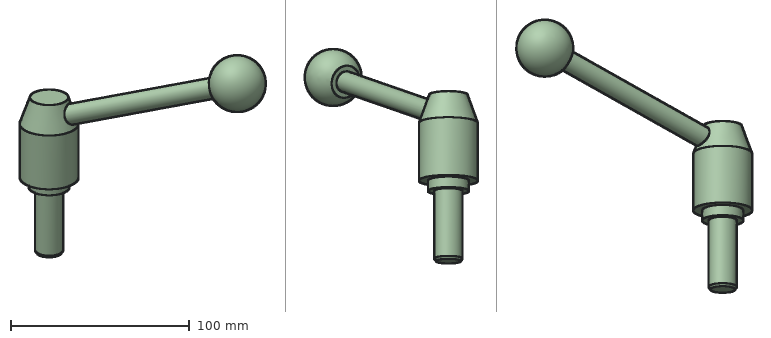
import cadquery as cq
import math

overall_length = 147.6
overall_height = 139.9

stud_diameter = 16.0
stud_length = 40.0
stud_chamfer_height = 1.5
stud_chamfer_width = 1.0
collar_diameter = 23.0
collar_height = 5.9
hub_diameter = 33.0
hub_height = 32.9
cone_top_diameter = 21.5
cone_height = 16.1

rod_diameter = 12.0
rod_angle = 20.0
ball_diameter = 32.0
ball_flat_diameter = 18.3

collar_bottom = stud_length
hub_bottom = collar_bottom + collar_height
cone_bottom = hub_bottom + hub_height
hub_top = cone_bottom + cone_height

ball_radius = ball_diameter / 2
ball_x = overall_length - hub_diameter / 2 - ball_radius
ball_z = overall_height - ball_radius
ball_flat_distance = math.sqrt(ball_radius**2 - (ball_flat_diameter / 2) ** 2)

rod_length = ball_x / math.cos(math.radians(rod_angle))
rod_start_z = ball_z - ball_x * math.tan(math.radians(rod_angle))


def make_hub():
    """Revolve the stud, collar, cylinder and cone about the Z axis."""
    stud_radius = stud_diameter / 2
    profile = [
        (0, 0),
        (stud_radius - stud_chamfer_width, 0),
        (stud_radius, stud_chamfer_height),
        (stud_radius, collar_bottom),
        (collar_diameter / 2, collar_bottom),
        (collar_diameter / 2, hub_bottom),
        (hub_diameter / 2, hub_bottom),
        (hub_diameter / 2, cone_bottom),
        (cone_top_diameter / 2, hub_top),
        (0, hub_top),
    ]
    return cq.Workplane("XZ").polyline(profile).close().revolve(360, (0, 0), (0, 1))


def make_lever():
    """Build rod and ball along +X from the hub axis, then incline them."""
    rod = cq.Workplane("YZ").circle(rod_diameter / 2).extrude(rod_length)

    flat_x = rod_length - ball_flat_distance
    ball = (
        cq.Workplane("XY")
        .moveTo(flat_x, 0)
        .lineTo(flat_x, ball_flat_diameter / 2)
        .threePointArc((rod_length, ball_radius), (rod_length + ball_radius, 0))
        .close()
        .revolve(360, (0, 0), (1, 0))
    )
    lever = rod.union(ball)
    return lever.rotate((0, 0, 0), (0, 1, 0), -rod_angle).translate((0, 0, rod_start_z))


result = make_hub().union(make_lever())